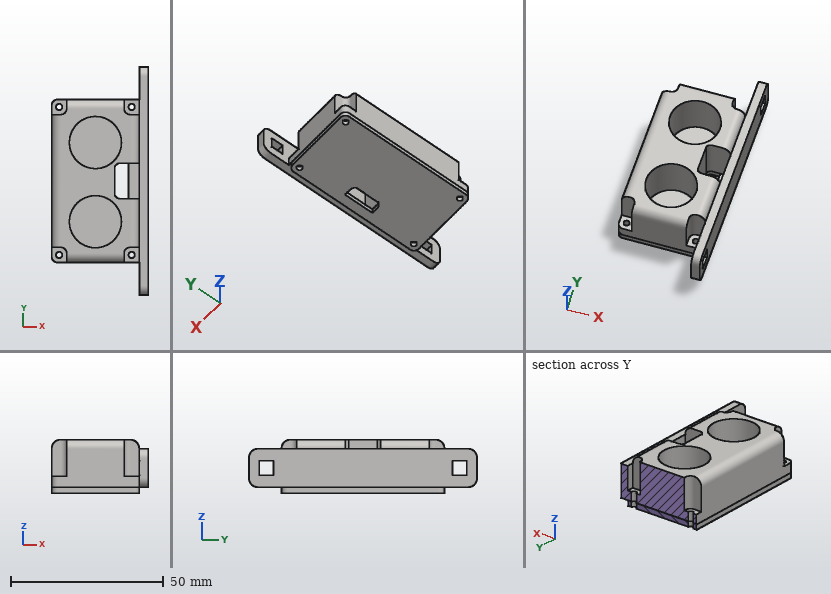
import cadquery as cq


block_width = 28.83
block_length = 53.6
block_height = 17.69
lid_thickness = 2.0
corner_radius = 2.0
top_edge_radius = 3.0

screw_ledge_z = 5.69
screw_recess_size = 5.0
screw_recess_radius = 2.0
screw_hole_diameter = 2.0
screw_inset = screw_recess_size / 2

well_diameter = 17.13
well_spacing = 26.0
well_x = block_width / 2
well_pair_y = -0.38

slot_length = 11.6
slot_start_x = 20.8
slot_corner_radius = 2.0
slot_corner_overrun = 0.2
lid_slot_end_x = 25.25

plate_thickness = 3.0
plate_length = 75.0
plate_bottom_z = lid_thickness
plate_top_z = block_height - top_edge_radius
plate_height = plate_top_z - plate_bottom_z
plate_corner_radius = 3.0
plate_hole_width = 4.6
plate_hole_height = 4.7
plate_hole_end_margin = 3.5

screw_points = [
    (x, side * (block_length / 2 - screw_inset))
    for x in (screw_inset, block_width - screw_inset)
    for side in (-1, 1)
]


def block_slab(bottom_z, height):
    """Plain slab with the block's footprint."""
    return (
        cq.Workplane("XY", origin=(block_width / 2, 0, bottom_z))
        .rect(block_width, block_length)
        .extrude(height)
    )


def screw_holes():
    """Drills through the full height at the four corners."""
    return (
        cq.Workplane("XY")
        .pushPoints(screw_points)
        .circle(screw_hole_diameter / 2)
        .extrude(block_height)
    )


def slot_cutter(end_x):
    """Full-height slot running to end_x; its rounded -X corners are trimmed short by a flat end wall."""
    rounded_start_x = slot_start_x - slot_corner_overrun
    rounded_slot = (
        cq.Workplane("XY")
        .moveTo((rounded_start_x + end_x) / 2, 0)
        .rect(end_x - rounded_start_x, slot_length)
        .extrude(block_height)
        .edges("|Z and <X")
        .fillet(slot_corner_radius)
    )
    trimmed_extent = (
        cq.Workplane("XY")
        .moveTo((slot_start_x + end_x) / 2, 0)
        .rect(end_x - slot_start_x, slot_length)
        .extrude(block_height)
    )
    return rounded_slot.intersect(trimmed_extent)


def screw_recesses():
    """Corner recesses above the screw ledges, rounded on the corner facing the block's middle."""
    block_corners = [(x, side * block_length / 2) for x in (0, block_width) for side in (-1, 1)]
    return (
        cq.Workplane("XY", origin=(0, 0, screw_ledge_z))
        .pushPoints(block_corners)
        .rect(2 * screw_recess_size, 2 * screw_recess_size)
        .extrude(block_height - screw_ledge_z)
        .edges("|Z")
        .fillet(screw_recess_radius)
    )


def wells():
    """Two round wells through the housing, closed below by the lid."""
    return (
        cq.Workplane("XY", origin=(well_x, well_pair_y, lid_thickness))
        .pushPoints([(0, -well_spacing / 2), (0, well_spacing / 2)])
        .circle(well_diameter / 2)
        .extrude(block_height - lid_thickness)
    )


def mounting_plate():
    """Upright plate on the +X side, with a rectangular hole in each end."""
    hole_y = plate_length / 2 - plate_hole_end_margin - plate_hole_width / 2
    plate_middle_z = (plate_bottom_z + plate_top_z) / 2
    return (
        cq.Workplane("YZ", origin=(block_width, 0, plate_middle_z))
        .rect(plate_length, plate_height)
        .extrude(plate_thickness)
        .edges("|X")
        .fillet(plate_corner_radius)
        .faces(">X")
        .workplane(origin=(block_width, 0, plate_middle_z))
        .pushPoints([(-hole_y, 0), (hole_y, 0)])
        .rect(plate_hole_width, plate_hole_height)
        .cutThruAll()
    )


def make_housing():
    """Upper block with wells, slot and screw ledges, in one piece with the mounting plate."""
    block = (
        block_slab(lid_thickness, block_height - lid_thickness)
        .edges("|Z and <X")
        .fillet(corner_radius)
        .faces(">Z")
        .edges()
        .fillet(top_edge_radius)
    )
    return (
        block.cut(screw_recesses())
        .cut(wells())
        .cut(slot_cutter(block_width))
        .cut(screw_holes())
        .union(mounting_plate())
    )


def make_lid():
    """Flat bottom cover with screw holes and the shorter slot."""
    return (
        block_slab(0, lid_thickness)
        .edges("|Z")
        .fillet(corner_radius)
        .cut(slot_cutter(lid_slot_end_x))
        .cut(screw_holes())
    )


housing = make_housing()
lid = make_lid()

result = cq.Compound.makeCompound([housing.val(), lid.val()])